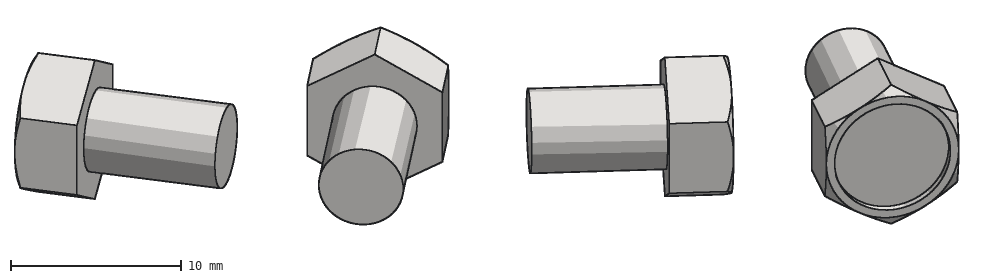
import cadquery as cq
import math

total_length = 11.8
head_height = 3.8
across_flats = 8.0
shank_diameter = 5.0
recess_diameter = 7.0
recess_depth = 0.47
chamfer_angle = 30.0

across_corners = across_flats / math.cos(math.radians(30))
corner_radius = across_corners / 2
flat_radius = across_flats / 2
chamfer_drop = (corner_radius - flat_radius) * math.tan(math.radians(chamfer_angle))


def hexagonal_head():
    """Hexagon with corners at +Z and -Z, its corners turned down by a cone."""
    corners = [
        (corner_radius * math.sin(math.radians(angle)), corner_radius * math.cos(math.radians(angle)))
        for angle in range(0, 360, 60)
    ]
    prism = cq.Workplane("YZ").polyline(corners).close().extrude(head_height)

    envelope_radius = 2 * corner_radius - flat_radius
    envelope = (
        cq.Workplane("XY")
        .moveTo(0, 0)
        .lineTo(0, flat_radius)
        .lineTo(2 * chamfer_drop, envelope_radius)
        .lineTo(head_height, envelope_radius)
        .lineTo(head_height, 0)
        .close()
        .revolve(360, (0, 0, 0), (1, 0, 0))
    )
    return prism.intersect(envelope)


def cylinder_along_axis(diameter, length):
    """Cylinder on the bolt axis, starting at the head's end face."""
    return cq.Workplane("YZ").circle(diameter / 2).extrude(length)


shank = cylinder_along_axis(shank_diameter, total_length)
recess = cylinder_along_axis(recess_diameter, recess_depth)

result = hexagonal_head().union(shank).cut(recess)